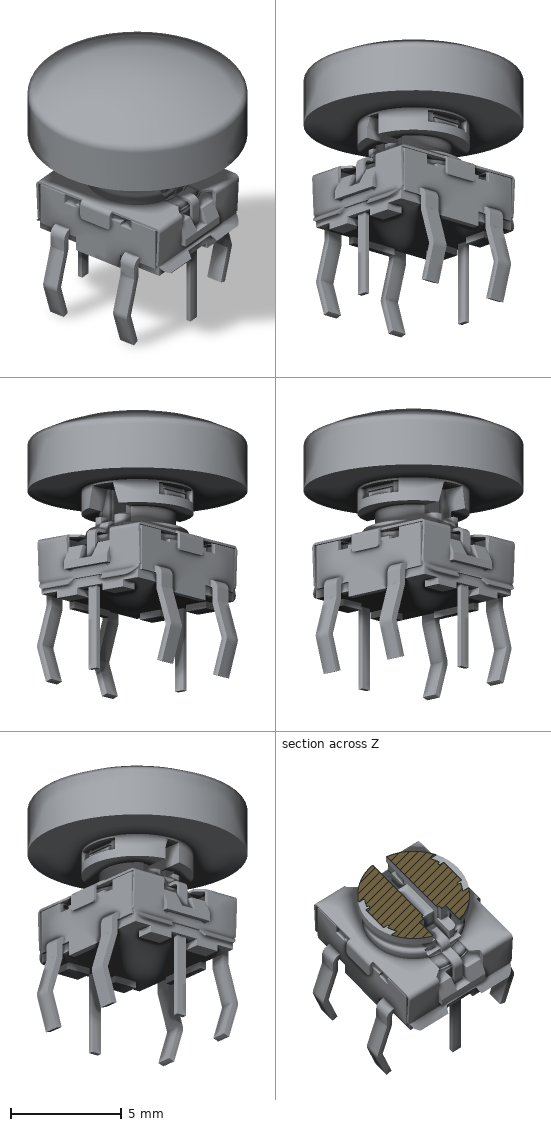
import cadquery as cq
import math


cap_radius = 10.0 / 2
cap_bottom = 8.78
cap_top = 12.3
dome_edge_radius = 4.78
dome_rise = 1.11
rim_fillet = 0.38

hub_radius = 5.1 / 2
hub_bottom = 7.71
hub_flange = 0.09
snap_radius = 2.25
snap_window_width = 2.39
snap_bottom = 8.13
snap_pocket_width = 1.51
snap_pocket_depth = 0.25
hook_width = 1.33
hook_ramp_bottom = 8.47
hook_lip = 8.39
stem_radius = 1.75
notch_top_width = 1.2
notch_width = 1.75
notch_floor = 2.8 / 2
groove_width = 0.98
groove_depth = 0.18
stem_slot_width = 0.8
stem_slot_bottom = 7.63
stem_slot_floor = 0.98
gusset_width = 0.16
gusset_height = 0.53
gusset_setback = 0.06

collar_radius = 2.35
collar_top = 6.9
collar_fillet = 0.16
collar_notch_top = 1.94
collar_notch_bottom = 1.6
collar_notch_floor = 2.03
post_top = 7.28
post_end = 2.13
post_corner = 0.28

body_half_x = 3.4
plate_half_x = 3.26
plate_top = 6.24
half_y = 2.98
base_half_y = 2.84
foot_bottom = 3.5
base_bottom = 3.81
base_top = 4.21
cover_top = 6.38
cover_sheet = 0.11
cover_end_x = 3.53
cover_bend = 0.22
cover_waist_x = 3.43
cover_waist_z = 4.42
cover_waist_height = 0.09
tongue_width = 2.51
tongue_depth = 0.32
foot_length = 0.85
foot_near = 0.75
foot_far = 1.94

window_width = 2.52
window_bottom = 4.71
window_inner_x = 2.09
window_neck_width = 1.72
window_neck_x = 3.0
relief_width = 0.32
relief_depth = 0.14
lug_end = 3.7
lug_inner_x = 3.1
lug_shoulder = 5.08
lug_slope_run = 0.36
cavity_floor = 5.78
cavity_margin = 0.37
cavity_end_x = 3.31
lug_gap_top = 0.91
lug_gap_bottom = 0.74

front_window_width = 3.81
front_sill_width = 2.56
front_sill = 5.93
front_window_depth = 0.74
front_wall = 0.2
disc_radius = 2.85
disc_top = 6.3
disc_bottom = 5.92
disc_fillet = 0.2
disc_step_height = 0.07
disc_step = 0.06

tab_width = 1.67
tab_bottom = 5.47
tab_outer = 3.2
tab_corner = 0.16
tab_bend = 0.21
tab_sheet = 0.15

skirt_drop = 0.37
skirt_half_y = 2.93
skirt_flat_half_y = 2.4
skirt_corner_y = 2.73
skirt_corner_z = 4.07
skirt_tip_z = 3.94
skirt_notch_top = 1.67
skirt_notch_bottom = 1.94
skirt_notch_z = 4.23

strip_width = 0.48
strip_sheet = 0.15
strip_outer = 3.32
strip_top = 6.51
strip_bend = 0.33
strip_rise_x = 2.41
strip_end_top = 6.99
strip_top_bend = 0.3
arm_width = 1.9
arm_end = 2.31
arm_root_x = 2.07
arm_bottom = 6.55
arm_top = 6.72

pin_thickness = 0.23
pin_width = 0.49
pin_x = 3.09
leg_x = 1.99
leg_width = 0.79
leg_sheet = 0.31
leg_outer = 3.4
leg_top = 4.5
leg_straight_end = 3.49
leg_kink_outer = 3.96
leg_kink_z = 1.71
leg_kink_radius = 0.44

OVERLAP = 0.06


def box(x0, x1, y0, y1, z0, z1):
    return cq.Workplane("XY").box(x1 - x0, y1 - y0, z1 - z0, centered=False).translate((x0, y0, z0))


def disc(radius, bottom, top):
    return cq.Workplane("XY").workplane(offset=bottom).circle(radius).extrude(top - bottom)


def across_x(points, x0, x1):
    """Extrude a closed (Y, Z) outline from x0 to x1."""
    return cq.Workplane("YZ").workplane(offset=x0).polyline(points).close().extrude(x1 - x0)


def across_y(points, width):
    """Extrude a closed (X, Z) outline symmetrically about Y = 0."""
    return cq.Workplane("XZ").polyline(points).close().extrude(width / 2, both=True)


def trapezoid(bottom_width, top_width, bottom, top):
    return [(-bottom_width / 2, bottom), (bottom_width / 2, bottom),
            (top_width / 2, top), (-top_width / 2, top)]


def both_ends(shape):
    """Add the copy turned half a revolution about the Z axis."""
    return shape.union(shape.rotate((0, 0, 0), (0, 0, 1), 180))


def make_cap():
    dome_radius = (dome_edge_radius**2 + dome_rise**2) / (2 * dome_rise)
    dome_edge_z = cap_top - dome_rise
    edge_angle = math.asin(dome_edge_radius / dome_radius)
    rim_z = dome_edge_z - rim_fillet * math.cos(edge_angle)
    half_angle = edge_angle / 2
    dome_mid = (dome_radius * math.sin(half_angle),
                cap_top - dome_radius * (1 - math.cos(half_angle)))
    rim_angle = (math.pi / 2 - edge_angle) / 2
    rim_mid = (cap_radius - rim_fillet * (1 - math.cos(rim_angle)),
               rim_z + rim_fillet * math.sin(rim_angle))
    profile = (
        cq.Workplane("XZ")
        .moveTo(0, cap_bottom)
        .lineTo(cap_radius, cap_bottom)
        .lineTo(cap_radius, rim_z)
        .threePointArc(rim_mid, (dome_edge_radius, dome_edge_z))
        .threePointArc(dome_mid, (0, cap_top))
        .close()
    )
    return profile.revolve(360, (0, 0), (0, 1))


def make_hub_and_stem():
    notch_top = cap_bottom - hub_flange
    core = disc(hub_radius, hub_bottom, cap_bottom).union(disc(stem_radius, cover_top, hub_bottom))

    half_window = snap_window_width / 2
    half_pocket = snap_pocket_width / 2
    pocket_floor = snap_pocket_depth - snap_radius
    window = box(-half_window, half_window, -hub_radius, 0, snap_bottom, notch_top)
    window = window.cut(disc(snap_radius, snap_bottom, notch_top))
    window = window.union(box(-half_pocket, half_pocket, -hub_radius, pocket_floor, snap_bottom, notch_top))
    core = core.cut(both_ends(window))
    ramp_outline = [(pocket_floor, hook_ramp_bottom), (-snap_radius, hook_ramp_bottom),
                    (pocket_floor, notch_top)]
    ramp = across_x(ramp_outline, -half_pocket, half_pocket)
    hook_outline = [(pocket_floor, snap_bottom), (-snap_radius, snap_bottom),
                    (-snap_radius, hook_lip), (pocket_floor, hook_ramp_bottom + OVERLAP)]
    hook = across_x(hook_outline, -hook_width / 2, hook_width / 2)
    core = core.union(both_ends(ramp.union(hook)))

    half_notch = notch_width / 2
    half_groove = groove_width / 2
    groove_floor = notch_floor - groove_depth
    notch = box(notch_floor, hub_radius, -half_notch, half_notch, cover_top, hub_bottom)
    notch = notch.union(box(groove_floor, stem_radius, -half_groove, half_groove, post_top, hub_bottom))
    flare_outline = trapezoid(notch_width, notch_top_width, hub_bottom, notch_top)
    flare = across_x(flare_outline, -hub_radius, -notch_floor)
    flare = flare.union(box(-hub_radius, -groove_floor, -half_groove, half_groove, hub_bottom, notch_top))
    core = core.cut(both_ends(notch)).cut(flare)

    half_slot = stem_slot_width / 2
    core = core.cut(box(-hub_radius, hub_radius, -half_slot, half_slot, stem_slot_bottom, notch_top))
    gusset = across_x([(-half_slot, notch_top), (gusset_width - half_slot, notch_top),
                       (-half_slot, notch_top - gusset_height)], notch_floor, hub_radius - gusset_setback)
    return core.union(gusset)


def make_stem_slot():
    """Recess that continues the hub slot down into each side of the stem and posts."""
    half_slot = stem_slot_width / 2
    return box(stem_slot_floor, post_end, -half_slot, half_slot, arm_top, stem_slot_bottom)


def make_collar():
    collar = disc(collar_radius, cover_top - OVERLAP, collar_top).faces(">Z").edges().fillet(collar_fillet)
    notch = across_x(trapezoid(collar_notch_bottom, collar_notch_top, cover_top, collar_top),
                     collar_notch_floor, collar_radius)
    collar = collar.cut(both_ends(notch))

    half_post = notch_width / 2
    post = box(0, post_end, -half_post, half_post, arm_top, post_top)
    post = post.edges("|Z and >X").fillet(post_corner)
    return collar.union(both_ends(post))


def make_housing():
    body = box(-body_half_x, body_half_x, -base_half_y, base_half_y, base_bottom, cover_top - cover_sheet)
    body = body.union(box(-plate_half_x, plate_half_x, -half_y, half_y, base_top, plate_top))

    half_tongue = tongue_width / 2
    tongue = box(-half_tongue, half_tongue, -half_y, tongue_depth - half_y, foot_bottom, base_top)
    body = body.union(both_ends(tongue))
    for side in (-1, 1):
        near, far = sorted((side * foot_near, side * foot_far))
        foot = box(body_half_x - foot_length, body_half_x, near, far, foot_bottom, base_bottom)
        body = body.union(both_ends(foot))
    return body


def make_cover():
    outer = trapezoid(2 * cover_waist_x, 2 * cover_end_x, cover_waist_z, cover_top)
    cover = across_y(outer, 2 * half_y).edges("|Y and >Z").fillet(cover_bend)
    inner_x = cover_waist_x - cover_sheet
    inner_top_x = cover_end_x - cover_sheet
    inner = trapezoid(2 * inner_x, 2 * inner_top_x, cover_waist_z, cover_top - cover_sheet)
    cover = cover.cut(across_y(inner, 2 * half_y))

    lip = cover_sheet / math.sqrt(2)
    flare_z = cover_waist_z - cover_waist_height
    skirt = across_y([(inner_x, cover_waist_z),
                      (inner_x, flare_z),
                      (cover_waist_x + skirt_drop - lip, flare_z - skirt_drop - lip),
                      (cover_waist_x + skirt_drop, flare_z - skirt_drop),
                      (cover_waist_x, flare_z),
                      (cover_waist_x, cover_waist_z)], 2 * half_y)
    corner_mid = (skirt_corner_y, skirt_corner_z)
    trim = (
        cq.Workplane("YZ")
        .moveTo(skirt_half_y, cover_waist_z)
        .threePointArc(corner_mid, (skirt_flat_half_y, skirt_tip_z))
        .lineTo(skirt_notch_bottom / 2, skirt_tip_z)
        .lineTo(skirt_notch_top / 2, skirt_notch_z)
        .lineTo(-skirt_notch_top / 2, skirt_notch_z)
        .lineTo(-skirt_notch_bottom / 2, skirt_tip_z)
        .lineTo(-skirt_flat_half_y, skirt_tip_z)
        .threePointArc((-corner_mid[0], corner_mid[1]), (-skirt_half_y, cover_waist_z))
        .close()
        .extrude(2 * cover_end_x)
    )
    cover = cover.union(both_ends(skirt.intersect(trim)))

    half_tab = tab_width / 2
    tab = box(-half_tab, half_tab, -tab_outer, -half_y + OVERLAP, tab_bottom, cover_top)
    tab = tab.edges("|X and <Y and >Z").fillet(tab_bend)
    tab = tab.edges("|Y and <Z").fillet(tab_corner)
    tab_gap = tab_outer - tab_sheet
    tab = tab.cut(box(-half_tab, half_tab, -tab_gap, 0, tab_bottom, cover_top - cover_sheet))
    return cover.union(both_ends(tab))


def make_windows():
    """Volume removed from housing and cover by the four window openings."""
    half_window = window_width / 2
    half_neck = window_neck_width / 2
    sheet_bottom = cover_top - cover_sheet
    fold_x = cover_end_x - cover_bend
    half_cavity = half_window + cavity_margin
    side = box(window_inner_x, cavity_end_x, -half_cavity, half_cavity, cavity_floor, sheet_bottom)
    side = side.union(box(lug_inner_x, cover_end_x, -half_window, half_window, window_bottom, sheet_bottom))
    opening = [(window_inner_x, -half_neck), (window_neck_x, -half_neck), (fold_x, -half_window),
               (cover_end_x, -half_window), (cover_end_x, half_window), (fold_x, half_window),
               (window_neck_x, half_neck), (window_inner_x, half_neck)]
    side = side.union(
        cq.Workplane("XY").workplane(offset=sheet_bottom).polyline(opening).close().extrude(cover_sheet)
    )
    for hand in (-1, 1):
        relief = [(hand * half_window, window_bottom),
                  (hand * (half_window - relief_width), window_bottom),
                  (hand * (half_window - relief_width / 2), window_bottom - relief_depth)]
        side = side.union(across_x(relief, body_half_x, cover_end_x))

    half_front = front_window_width / 2
    inner_y = front_window_depth - half_y
    front = box(-half_front, half_front, -half_y, inner_y, cavity_floor, cover_top - cover_sheet)
    half_cavity = half_front + cavity_margin
    front = front.union(box(-half_cavity, half_cavity, front_wall - half_y, inner_y, cavity_floor, plate_top))
    half_sill = front_sill_width / 2
    front = front.cut(box(-half_sill, half_sill, -half_y, inner_y, cavity_floor, front_sill))
    return both_ends(side).union(both_ends(front))


def make_disc():
    step_z = disc_bottom + disc_step_height
    upper = disc(disc_radius, step_z, disc_top).faces(">Z").edges().fillet(disc_fillet)
    lower = disc(disc_radius + disc_step, disc_bottom, step_z)
    support = disc(disc_radius - disc_step, cavity_floor - OVERLAP, disc_bottom)
    return upper.union(lower).union(support)


def make_lug():
    slope_start = lug_end - lug_slope_run
    return across_y([(lug_inner_x, window_bottom), (lug_end, window_bottom), (lug_end, lug_shoulder),
                     (slope_start, cavity_floor), (lug_inner_x, cavity_floor)], window_width)


def make_lug_gap():
    gap = trapezoid(lug_gap_bottom, lug_gap_top, lug_shoulder, cavity_floor)
    return across_x(gap, disc_radius + disc_step, lug_end)


def make_strip():
    bend_x = strip_outer - strip_bend
    inner_bend = strip_bend - strip_sheet
    bend_z = strip_top - strip_bend
    diagonal = math.sqrt(0.5)
    rise_end = strip_rise_x - strip_top_bend
    return (
        cq.Workplane("XZ")
        .moveTo(strip_outer, lug_shoulder - OVERLAP)
        .lineTo(strip_outer, bend_z)
        .threePointArc((bend_x + strip_bend * diagonal, bend_z + strip_bend * diagonal), (bend_x, strip_top))
        .lineTo(strip_rise_x, strip_top)
        .lineTo(strip_rise_x, strip_end_top - strip_top_bend)
        .threePointArc((rise_end + strip_top_bend * diagonal,
                        strip_end_top - strip_top_bend * (1 - diagonal)), (rise_end, strip_end_top))
        .lineTo(notch_floor, strip_end_top)
        .lineTo(notch_floor, strip_top - strip_sheet)
        .lineTo(bend_x, strip_top - strip_sheet)
        .threePointArc((bend_x + inner_bend * diagonal, bend_z + inner_bend * diagonal),
                       (strip_outer - strip_sheet, bend_z))
        .lineTo(strip_outer - strip_sheet, lug_shoulder - OVERLAP)
        .close()
        .extrude(strip_width / 2, both=True)
    )


def make_arm():
    """Plate through the collar notch with its underside sloping back inward."""
    side_outline = [(notch_floor, disc_top), (arm_root_x, disc_top), (arm_end, arm_bottom),
                    (arm_end, arm_top), (notch_floor, arm_top)]
    end_outline = trapezoid(collar_notch_bottom, arm_width, disc_top, arm_top)
    return across_y(side_outline, arm_width).intersect(across_x(end_outline, 0, arm_end))


def make_pin():
    return box(pin_x - pin_thickness / 2, pin_x + pin_thickness / 2,
               -pin_width / 2, pin_width / 2, 0, base_bottom + OVERLAP)


def make_leg(x):
    bend = leg_outer - half_y
    bend_z = leg_top - bend
    inner_bend = bend - leg_sheet
    diagonal = math.sqrt(0.5)
    lean = math.atan2(leg_kink_outer - leg_outer, leg_straight_end - leg_kink_z)
    across = leg_sheet / math.cos(lean)
    tip_outer = leg_kink_outer - leg_kink_z * math.tan(lean)
    tip_rise = leg_sheet * math.sin(lean)
    leg = (
        cq.Workplane("YZ")
        .workplane(offset=x - leg_width / 2)
        .moveTo(half_y - OVERLAP, leg_top)
        .lineTo(half_y, leg_top)
        .threePointArc((half_y + bend * diagonal, bend_z + bend * diagonal), (leg_outer, bend_z))
        .lineTo(leg_outer, leg_straight_end)
        .lineTo(leg_kink_outer, leg_kink_z)
        .lineTo(tip_outer, 0)
        .lineTo(tip_outer - leg_sheet * math.cos(lean), tip_rise)
        .lineTo(leg_kink_outer - across, leg_kink_z)
        .lineTo(leg_outer - leg_sheet, leg_straight_end - leg_sheet * math.tan(lean / 2))
        .lineTo(leg_outer - leg_sheet, bend_z)
        .threePointArc((half_y + inner_bend * diagonal, bend_z + inner_bend * diagonal),
                       (half_y, bend_z + inner_bend))
        .lineTo(half_y - OVERLAP, bend_z + inner_bend)
        .close()
        .extrude(leg_width)
    )
    return leg.edges("|X and >Y").fillet(leg_kink_radius)


result = make_housing().union(make_cover()).cut(make_windows())
result = result.union(make_disc()).union(both_ends(make_lug())).cut(both_ends(make_lug_gap()))
result = result.union(make_collar()).union(make_hub_and_stem()).union(make_cap())
result = result.cut(both_ends(make_stem_slot()))
for make_end_part in (make_arm, make_strip, make_pin):
    result = result.union(both_ends(make_end_part()))
for leg_side in (-leg_x, leg_x):
    result = result.union(both_ends(make_leg(leg_side)))